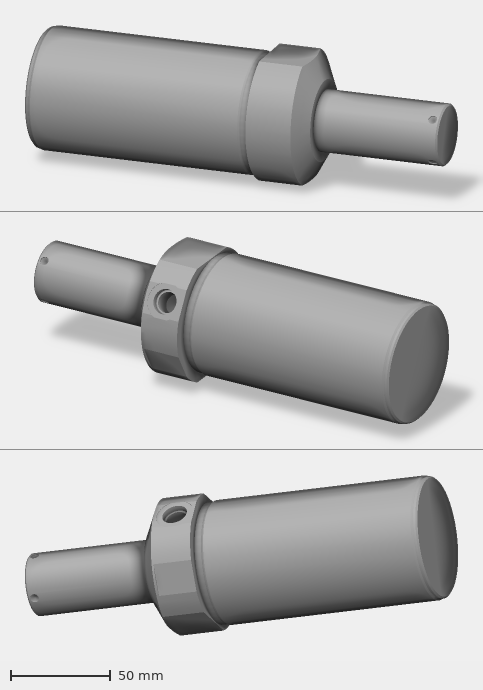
import cadquery as cq
import math

total_length = 215.0
body_radius = 31.5
groove_depth = 0.6
end_lip_chamfer = 0.9
end_lip_length = 2.1
end_taper_end = 3.2
body_end = 114.0
body_chamfer = 1.3

head_start = 118.6
head_end = 149.2
head_width = 69.9
head_radius = head_width / 2
head_low_side = 32.2
head_offset = head_radius - head_low_side
cone_small_radius = 21.0
cone_angle = 60.0
flat_height = body_radius
facet_angle = 30.0
facet_distance = 34.0
lower_facet_end = 138.6

port_x = 129.0
port_diameter = 13.0
port_depth = 3.5
port_bore_diameter = 10.7
port_bore_depth = 13.0
spotface_diameter = 19.3
spotface_depth = 0.2

rod_radius = 16.0
rod_chamfer = 0.9
pin_hole_x = 211.0
pin_hole_diameter = 4.5
pin_hole_depth = 0.6
drill_point_angle = 118.0
pin_hole_count = 4


def make_body():
    lip_radius = body_radius - groove_depth
    profile = [
        (0, 0),
        (0, lip_radius - end_lip_chamfer),
        (end_lip_chamfer, lip_radius),
        (end_lip_length, lip_radius),
        (end_taper_end, body_radius),
        (body_end, body_radius),
        (body_end + body_chamfer, lip_radius),
        (head_start, lip_radius),
        (head_start, 0),
    ]
    return cq.Workplane("XY").polyline(profile).close().revolve(360, (0, 0, 0), (1, 0, 0))


def make_head():
    length = head_end - head_start
    reach = 2 * head_radius
    head = (
        cq.Workplane("YZ", origin=(head_start, head_offset, 0))
        .circle(head_radius)
        .extrude(length)
    )
    flats = cq.Workplane("XY").box(length, 2 * reach, 2 * flat_height).translate(
        ((head_start + head_end) / 2, 0, 0)
    )
    head = head.intersect(flats)

    for side, facet_end in ((1, head_end), (-1, lower_facet_end)):
        cutter = (
            cq.Workplane("XY")
            .box(facet_end - head_start, reach, reach)
            .translate(((head_start + facet_end) / 2, facet_distance + reach / 2, 0))
            .rotate((0, 0, 0), (1, 0, 0), side * facet_angle)
            .translate((0, head_offset, 0))
        )
        head = head.cut(cutter)

    cone_large_radius = cone_small_radius + length * math.tan(math.radians(cone_angle))
    envelope = (
        cq.Workplane("XY")
        .polyline([
            (head_start, 0),
            (head_start, cone_large_radius),
            (head_end, cone_small_radius),
            (head_end, 0),
        ])
        .close()
        .revolve(360, (0, 0, 0), (1, 0, 0))
    )
    return head.intersect(envelope)


def make_rod():
    return (
        cq.Workplane("YZ", origin=(head_start, 0, 0))
        .circle(rod_radius)
        .extrude(total_length - head_start)
        .faces(">X")
        .chamfer(rod_chamfer)
    )


def drill(part, mouth, outward, diameter, depth):
    """Drill inwards from the mouth; depth is to the rim of the conical bottom."""
    radius = diameter / 2
    inward = outward * -1
    shank = cq.Solid.makeCylinder(radius, depth + radius, mouth + outward * radius, inward)
    point_length = radius / math.tan(math.radians(drill_point_angle / 2))
    point = cq.Solid.makeCone(radius, 0, point_length, mouth + inward * depth, inward)
    return part.cut(cq.Workplane(shank)).cut(cq.Workplane(point))


def cut_port(part):
    angle = math.radians(facet_angle)
    outward = cq.Vector(0, math.cos(angle), math.sin(angle))
    facet_center = cq.Vector(port_x, head_offset, 0) + outward * facet_distance
    for diameter, depth in ((spotface_diameter, spotface_depth), (port_diameter, port_depth)):
        floor_center = facet_center - outward * depth
        cutter = cq.Solid.makeCylinder(diameter / 2, diameter, floor_center, outward)
        part = part.cut(cq.Workplane(cutter))
    return drill(part, facet_center, outward, port_bore_diameter, port_bore_depth)


def cut_pin_holes(part):
    for index in range(pin_hole_count):
        angle = math.radians((index + 0.5) * 360 / pin_hole_count)
        outward = cq.Vector(0, math.cos(angle), math.sin(angle))
        mouth = cq.Vector(pin_hole_x, 0, 0) + outward * rod_radius
        part = drill(part, mouth, outward, pin_hole_diameter, pin_hole_depth)
    return part


result = make_body().union(make_head()).union(make_rod())
result = cut_port(result)
result = cut_pin_holes(result)